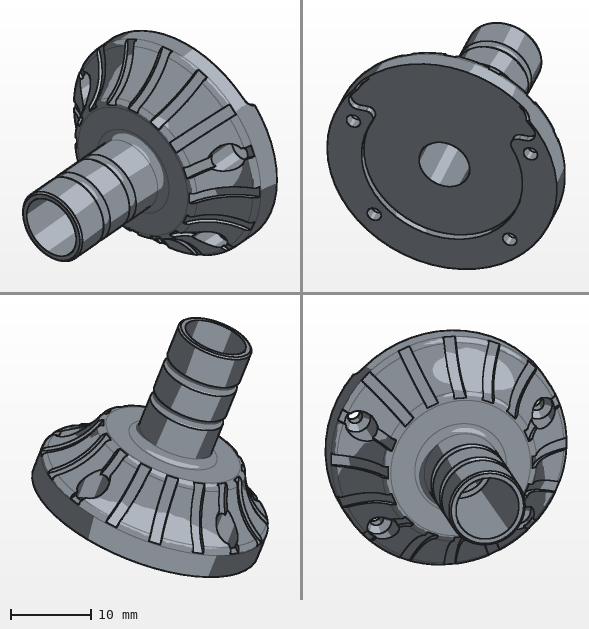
import cadquery as cq
import math


flange_radius = 15.0
flange_depth = 10.05
rim_depth = 3.85
face_radius = 9.63
flank_radius = 9.3
edge_fillet = 1.0

total_depth = 25.8
barrel_diameter = 9.7
barrel_radius = barrel_diameter / 2
root_fillet = 1.0
tip_chamfer = 0.25
bore_diameter = 8.0
through_diameter = 6.6

seal_groove_radius = 0.72
seal_floor_radius = 4.47
seal_groove_depths = (15.8, 20.82)

grip_count = 16
grip_width = 1.5
grip_depth = 0.48

screw_circle_radius = 12.5
screw_angles = (22.5, 157.5, 225.0, 315.0)
screw_diameter = 1.8
head_diameter = 3.5
head_seat_depth = 2.55

recess_depth = 1.0
recess_radius = 10.5
upper_recess_radius = 14.7
ledge_height = 6.7
ledge_edge_fillet = 1.0
ledge_corner_fillet = 1.2
notch_height = 9.72
notch_fillet = 1.2

clearance = 0.3


def flank_center():
    """Radius and depth of the centre of the flank's arc, which lies outside the flange."""
    across = face_radius - flange_radius
    along = flange_depth - rim_depth
    half_chord = math.hypot(across, along) / 2
    offset = math.sqrt(flank_radius**2 - half_chord**2) / (2 * half_chord)
    middle_radius = (flange_radius + face_radius) / 2
    middle_depth = (rim_depth + flange_depth) / 2
    return middle_radius + along * offset, middle_depth - across * offset


center_radius, center_depth = flank_center()


def flank_point(arc_radius, angle):
    """Point of an arc concentric with the flank, as X and Y in the half section."""
    return (
        center_radius + arc_radius * math.cos(angle),
        -center_depth - arc_radius * math.sin(angle),
    )


def angle_at_radius(arc_radius, radius):
    """Angle on a concentric arc where it reaches a distance from the Y axis."""
    return -math.acos((radius - center_radius) / arc_radius)


def angle_at_depth(arc_radius, depth):
    """Angle on a concentric arc where it reaches a depth."""
    return -math.pi - math.asin((depth - center_depth) / arc_radius)


def flank_arc_points(arc_radius, outer_radius, end_depth):
    """Start, middle and end of a concentric arc from a radius to a depth."""
    start = angle_at_radius(arc_radius, outer_radius)
    end = angle_at_depth(arc_radius, end_depth)
    return [flank_point(arc_radius, angle) for angle in (start, (start + end) / 2, end)]


def cylinder(diameter, start_depth, end_depth, x=0.0, z=0.0):
    """Cylinder along Y between two depths."""
    length = end_depth - start_depth
    return cq.Workplane("XZ", origin=(x, -start_depth, z)).circle(diameter / 2).extrude(length)


def make_flange():
    """Solid of revolution with a hollow flank and rounded rim and face edges."""
    rim_point, flank_middle, face_point = flank_arc_points(flank_radius, flange_radius, flange_depth)
    flange = (
        cq.Workplane("XY")
        .lineTo(flange_radius, 0)
        .lineTo(*rim_point)
        .threePointArc(flank_middle, face_point)
        .lineTo(0, -flange_depth)
        .close()
        .revolve(360, (0, 0, 0), (0, 1, 0))
    )
    flange = flange.faces("%CYLINDER").edges("<Y").fillet(edge_fillet)
    return flange.faces("<Y").edges().fillet(edge_fillet)


def make_barrel():
    """Solid barrel with a chamfered tip and a concave root that blends into the front face."""
    root_radius = barrel_radius + root_fillet
    tip_y = flange_depth - total_depth
    blend = root_fillet * (1 - math.sqrt(0.5))
    return (
        cq.Workplane("XY", origin=(0, -flange_depth, 0))
        .lineTo(root_radius, 0)
        .threePointArc((barrel_radius + blend, -blend), (barrel_radius, -root_fillet))
        .lineTo(barrel_radius, tip_y + tip_chamfer)
        .lineTo(barrel_radius - tip_chamfer, tip_y)
        .lineTo(0, tip_y)
        .close()
        .revolve(360, (0, 0, 0), (0, 1, 0))
    )


def make_seal_groove(depth):
    """Ring of round section whose inner side is the groove."""
    ring_radius = seal_floor_radius + seal_groove_radius
    center = cq.Vector(0, -depth, 0)
    axis = cq.Vector(0, 1, 0)
    return cq.Workplane(cq.Solid.makeTorus(ring_radius, seal_groove_radius, center, axis))


def make_grip_cutter(angle):
    """Straight-sided cutter with its floor concentric with the flank."""
    outer_radius = flange_radius + clearance
    end_depth = flange_depth + clearance
    start, middle, end = flank_arc_points(flank_radius + grip_depth, outer_radius, end_depth)
    return (
        cq.Workplane("XY")
        .moveTo(*start)
        .threePointArc(middle, end)
        .lineTo(outer_radius, -end_depth)
        .close()
        .extrude(grip_width / 2, both=True)
        .rotate((0, 0, 0), (0, 1, 0), angle)
    )


def make_screw_hole(angle):
    """Through hole, 90 degree countersink and clearance for the screw head."""
    x = screw_circle_radius * math.cos(math.radians(angle))
    z = screw_circle_radius * math.sin(math.radians(angle))
    cone_depth = (head_diameter - screw_diameter) / 2
    cone = cq.Solid.makeCone(
        screw_diameter / 2,
        head_diameter / 2,
        cone_depth,
        cq.Vector(x, cone_depth - head_seat_depth, z),
        cq.Vector(0, -1, 0),
    )
    shank = cylinder(screw_diameter, -clearance, head_seat_depth, x, z)
    head = cylinder(head_diameter, head_seat_depth, flange_depth + clearance, x, z)
    return shank.union(cq.Workplane(cone)).union(head)


def make_recess():
    """Round recess that widens above two ledges towards the notch."""
    upper_box = (
        cq.Workplane("XY", origin=(0, 0, ledge_height))
        .rect(2 * flange_radius, 2 * recess_depth)
        .extrude(flange_radius)
    )
    upper = cylinder(2 * upper_recess_radius, 0, recess_depth).intersect(upper_box)
    upper = upper.edges("|Y").edges("<Z").fillet(ledge_corner_fillet)
    recess = cylinder(2 * recess_radius, 0, recess_depth).union(upper)
    ledge_edges = cq.selectors.BoxSelector(
        (-recess_radius, -recess_depth, ledge_height - clearance),
        (recess_radius, 0, ledge_height + clearance),
    )
    return recess.edges("|Y").edges(ledge_edges).fillet(ledge_edge_fillet)


def make_notch():
    """Step across the top of the back, with a concave corner along X."""
    top = flange_radius + clearance
    return (
        cq.Workplane("YZ")
        .moveTo(-recess_depth, notch_height)
        .lineTo(notch_fillet, notch_height)
        .lineTo(notch_fillet, top)
        .lineTo(-recess_depth, top)
        .close()
        .extrude(top, both=True)
        .edges("|X and <Y and <Z")
        .fillet(notch_fillet)
    )


result = make_flange().union(make_barrel())
for groove_depth in seal_groove_depths:
    result = result.cut(make_seal_groove(groove_depth))
for index in range(grip_count):
    result = result.cut(make_grip_cutter(index * 360 / grip_count))
for screw_angle in screw_angles:
    result = result.cut(make_screw_hole(screw_angle))
result = result.cut(make_recess()).cut(make_notch())
result = result.cut(cylinder(bore_diameter, flange_depth, total_depth))
result = result.cut(cylinder(through_diameter, -clearance, total_depth))